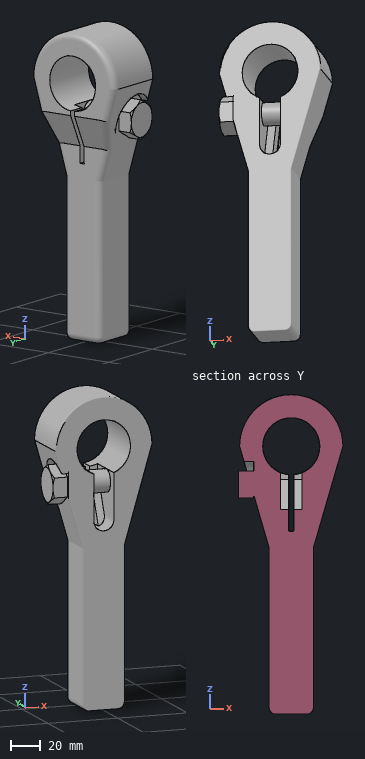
import cadquery as cq
import math


head_radius = 34.925
head_depth = 44.45
bore_radius = 19.05
overall_height = 215.39
overall_width = 70.54
handle_width = 30.16
handle_depth = 33.65
taper_end_z = -68.26
step_top_z = -22.225
step_bottom_z = -45.0
back_fillet = 4.7625
front_fillet = 0.8
corner_radius = 4.7625
handle_bottom_z = head_radius - overall_height
back_slope = (head_depth - handle_depth) / (step_top_z - step_bottom_z)

slot_width = 14.29
slot_bottom_z = -57.15
floor_wall = 12.7
slit_width = 3.175

bolt_y = 14.29
bolt_z = -25.7
bolt_radius = 7.94
bolt_head_across_flats = 23.81
bolt_head_outer_x = head_radius - overall_width
bolt_seat_x = -25.25
bolt_seat_radius = 17.3
bolt_head_chamfer_angle = math.radians(30)
bolt_embedment = 3.0


def slope_y(z):
    """Depth of the sloping back at height z."""
    return handle_depth + back_slope * (z - step_bottom_z)


def outline_prism(depth):
    """Front outline of the lever, extruded straight back."""
    half_handle = handle_width / 2
    return (
        cq.Workplane("XZ")
        .moveTo(-head_radius, 0)
        .threePointArc((0, head_radius), (head_radius, 0))
        .lineTo(half_handle, taper_end_z)
        .lineTo(half_handle, handle_bottom_z)
        .lineTo(-half_handle, handle_bottom_z)
        .lineTo(-half_handle, taper_end_z)
        .close()
        .extrude(-depth)
        .faces("<Z")
        .edges("|Y")
        .fillet(corner_radius)
    )


def rounded_prism(depth):
    """Outline prism with its whole back rim rounded."""
    return outline_prism(depth).faces(">Y").edges().fillet(back_fillet)


def sloping_prism():
    """Tapered flanks under the sloping back, rounded along the slope."""
    half_handle = handle_width / 2
    flanks = (
        cq.Workplane("XZ")
        .polyline([
            (-head_radius, 0),
            (head_radius, 0),
            (half_handle, taper_end_z),
            (-half_handle, taper_end_z),
        ])
        .close()
        .extrude(-2 * head_depth)
    )
    below_slope = (
        cq.Workplane("YZ")
        .polyline([
            (0, 0),
            (slope_y(0), 0),
            (slope_y(taper_end_z), taper_end_z),
            (0, taper_end_z),
        ])
        .close()
        .extrude(head_radius, both=True)
    )
    sloping = flanks.intersect(below_slope)
    slope_normal = cq.Vector(0, 1, -back_slope)
    back_face = cq.selectors.DirectionMinMaxSelector(slope_normal)
    return sloping.faces(back_face).edges("not |X").fillet(back_fillet)


def upper_half():
    """Block around the round head above the bore axis."""
    return cq.Workplane("XY").box(
        2 * head_radius, head_depth, head_radius, centered=(True, False, False)
    )


def lever_body():
    """Thick head cut down along the slope, joined to the full-length thinner handle."""
    head_limits = upper_half().union(sloping_prism())
    lever = rounded_prism(head_depth).intersect(head_limits)
    lever = lever.union(rounded_prism(handle_depth))
    return lever.faces("<Y").edges().fillet(front_fillet)


def bore():
    return cq.Workplane("XZ").circle(bore_radius).extrude(-head_depth)


def slot_prism(width):
    """Round-bottomed slot from the bore centre down, cut through the full depth."""
    radius = slot_width / 2
    return (
        cq.Workplane("XZ")
        .moveTo(-radius, 0)
        .lineTo(-radius, slot_bottom_z + radius)
        .threePointArc((0, slot_bottom_z), (radius, slot_bottom_z + radius))
        .lineTo(radius, 0)
        .close()
        .extrude(-head_depth)
        .intersect(cq.Workplane("XY").box(width, 4 * head_depth, 4 * head_depth))
    )


def slot_depth_envelope():
    """Space ahead of the slot floor, which runs parallel to the sloping back."""
    floor_top_y = head_depth - floor_wall
    floor_bottom_y = slope_y(slot_bottom_z) - floor_wall
    return (
        cq.Workplane("YZ")
        .polyline([
            (0, 0),
            (floor_top_y, 0),
            (floor_top_y, step_top_z),
            (floor_bottom_y, slot_bottom_z),
            (0, slot_bottom_z),
        ])
        .close()
        .extrude(slot_width, both=True)
    )


def bolt_plane(x):
    """Workplane across the bolt axis at position x, facing +X."""
    return cq.Workplane("YZ", origin=(x, bolt_y, bolt_z))


def bolt_seat():
    """Flat round recess under the bolt head, open to the outside of the flank."""
    return bolt_plane(bolt_seat_x).circle(bolt_seat_radius).extrude(-head_radius)


def bolt():
    """Hex bolt with two corners pointing along Z and a chamfered outer end."""
    head_corner_radius = bolt_head_across_flats / 2 / math.cos(math.pi / 6)
    head_length = bolt_seat_x - bolt_head_outer_x
    corner_rise = head_corner_radius - bolt_head_across_flats / 2
    chamfer_length = corner_rise * math.tan(bolt_head_chamfer_angle)
    hexagon = (
        bolt_plane(bolt_head_outer_x)
        .polygon(6, 2 * head_corner_radius)
        .extrude(head_length)
        .rotate((0, bolt_y, bolt_z), (1, bolt_y, bolt_z), 90)
    )
    chamfered_round = (
        bolt_plane(bolt_head_outer_x)
        .circle(head_corner_radius)
        .extrude(head_length)
        .faces("<X")
        .chamfer(chamfer_length, corner_rise)
    )
    shank_end_x = slot_width / 2 + bolt_embedment
    shank = bolt_plane(bolt_seat_x).circle(bolt_radius).extrude(shank_end_x - bolt_seat_x)
    return hexagon.intersect(chamfered_round).union(shank)


result = (
    lever_body()
    .cut(bore())
    .cut(slot_prism(slot_width).intersect(slot_depth_envelope()))
    .cut(slot_prism(slit_width))
    .cut(bolt_seat())
    .union(bolt())
)